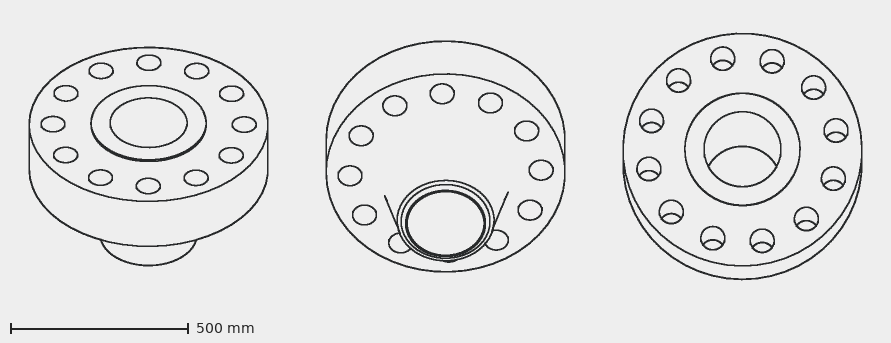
import cadquery as cq
import math

total_height = 425.5
flange_radius = 336.5
flange_thickness = 165.5
raised_face_radius = 162.0
raised_face_height = 6.0

hub_radius = 184.5
weld_end_radius = 136.5
weld_land_height = 8.0
bore_radius = 108.5
hub_fillet_height = 15.5

root_radius = 112.5
bevel_height = 14.0
bevel_break_radius = 125.0
bevel_break_height = 10.0

bolt_count = 12
bolt_circle_radius = 269.0
bolt_hole_diameter = 67.0

flange_top = total_height - raised_face_height
flange_bottom = flange_top - flange_thickness
taper_top = flange_bottom - hub_fillet_height
taper_bottom = bevel_height + weld_land_height

taper_angle = math.atan2(hub_radius - weld_end_radius, taper_top - taper_bottom)
fillet_tangent_length = hub_fillet_height / math.cos(taper_angle)
fillet_outer_radius = hub_radius + hub_fillet_height * math.tan(taper_angle) + fillet_tangent_length


def make_body():
    """Revolve the solid half section of flange and neck about Z."""
    return (
        cq.Workplane("XZ")
        .lineTo(root_radius, 0)
        .lineTo(bevel_break_radius, bevel_break_height)
        .lineTo(weld_end_radius, bevel_height)
        .lineTo(weld_end_radius, taper_bottom)
        .lineTo(hub_radius, taper_top)
        .tangentArcPoint((fillet_outer_radius, flange_bottom), relative=False)
        .lineTo(flange_radius, flange_bottom)
        .lineTo(flange_radius, flange_top)
        .lineTo(raised_face_radius, flange_top)
        .lineTo(raised_face_radius, total_height)
        .lineTo(0, total_height)
        .close()
        .revolve(360, (0, 0, 0), (0, 1, 0))
    )


def make_bore():
    return cq.Workplane("XY").circle(bore_radius).extrude(total_height)


def make_bolt_holes():
    return (
        cq.Workplane("XY", origin=(0, 0, flange_bottom))
        .polarArray(bolt_circle_radius, 0, 360, bolt_count)
        .circle(bolt_hole_diameter / 2)
        .extrude(flange_thickness)
    )


result = make_body().cut(make_bore()).cut(make_bolt_holes())